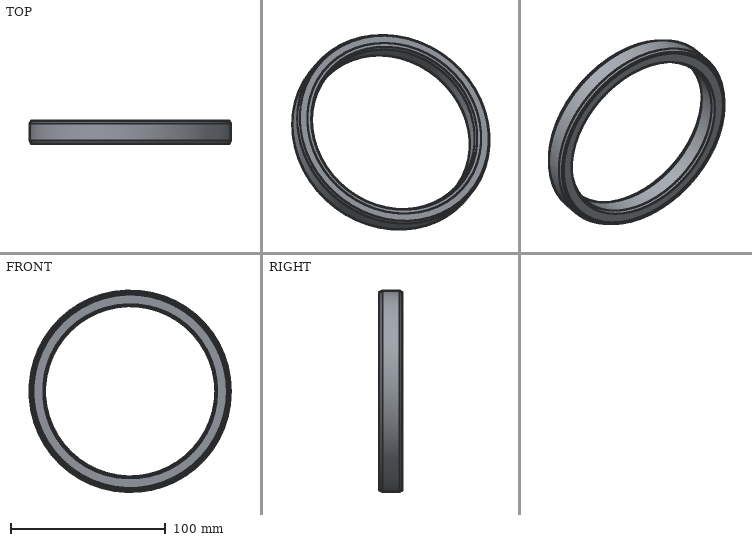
import cadquery as cq

outer_diameter = 130.0
bore_diameter = 110.0
width = 15.1
chamfer_radial = 1.16
front_chamfer_axial = 2.1
rear_chamfer_axial = 2.0
rim_thickness = 2.2
gap = 0.3

outer_radius = outer_diameter / 2
bore_radius = bore_diameter / 2
rim_radius = outer_radius - rim_thickness
flange_radius = rim_radius - gap
sleeve_radius = (bore_radius + flange_radius) / 2

front = -width / 2
back = width / 2
middle = (front + back) / 2


def revolve_profile(points):
    """Revolve a closed (radius, axial) outline about the Y axis."""
    return cq.Workplane("XY").polyline(points).close().revolve(360, (0, 0, 0), (0, 1, 0))


def make_outer_ring():
    """Chamfered rim with a rear flange reaching inward to the inner ring's sleeve."""
    return revolve_profile([
        (rim_radius, front),
        (outer_radius - chamfer_radial, front),
        (outer_radius, front + front_chamfer_axial),
        (outer_radius, back - rear_chamfer_axial),
        (outer_radius - chamfer_radial, back),
        (sleeve_radius, back),
        (sleeve_radius, middle),
        (rim_radius, middle),
    ])


def make_inner_ring():
    """Chamfered bore sleeve with a front flange that covers the outer ring's rear flange."""
    return revolve_profile([
        (bore_radius + chamfer_radial, front),
        (flange_radius, front),
        (flange_radius, middle),
        (sleeve_radius, middle),
        (sleeve_radius, back),
        (bore_radius + chamfer_radial, back),
        (bore_radius, back - rear_chamfer_axial),
        (bore_radius, front + front_chamfer_axial),
    ])


outer_ring = make_outer_ring()
inner_ring = make_inner_ring()

result = cq.Compound.makeCompound([outer_ring.val(), inner_ring.val()])